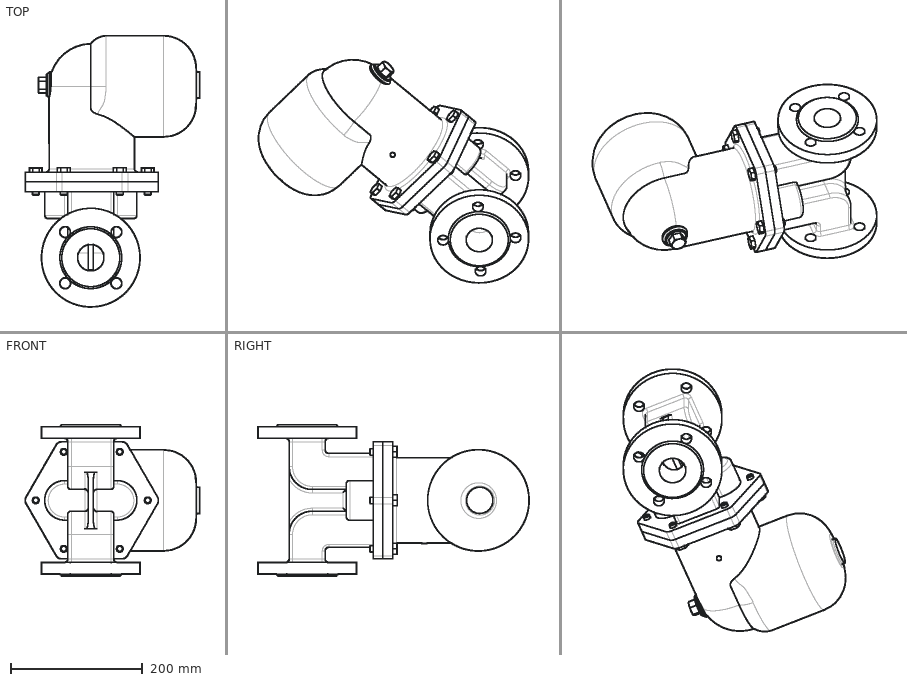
import cadquery as cq
import math


edge_radius = 5.0
pick_margin = 1.0

face_to_face = 230.0
pipe_flange_diameter = 150.0
pipe_flange_thickness = 18.0
raised_face_height = 3.0
raised_face_diameter = 88.0
pipe_hole_diameter = 16.0
pipe_hole_circle = 110.0
bore_radius = 20.0

pipe_flange_outer = face_to_face / 2 - raised_face_height
pipe_flange_inner = pipe_flange_outer - pipe_flange_thickness

leg_width = 70.0
leg_depth = 55.0
leg_inner_z = 16.5
bend_radius = 35.0
leg_half_depth = leg_depth / 2
leg_outer_z = leg_inner_z + leg_depth
leg_center_z = leg_inner_z + leg_half_depth
bend_center_y = bend_radius - leg_half_depth
bend_center_z = leg_inner_z + bend_radius
bend_mid_offset = bend_radius * math.cos(math.pi / 4)
bend_mid_y = bend_center_y - bend_mid_offset
bend_mid_z = bend_center_z - bend_mid_offset

joint_y = 115.0
plate_thickness = 15.0
plate_across_flats = 178.0
plate_corner_radius = 10.0
cover_x = 1.5
body_plate_y = joint_y - plate_thickness
cover_plate_y = joint_y + plate_thickness

rib_thickness = 8.0
rib_half_height = 43.0
boss_length = 140.0
boss_height = 60.0
boss_face_y = 59.3

bolt_diameter = 10.0
bolt_circle_radius = 85.0
bolt_count = 6
bolt_head_flats = 17.0
bolt_head_height = 6.4
bolt_projection = 5.0
bolt_chamfer = 1.0

barrel_radius = 65.0
chamber_y = 260.0
chamber_radius = 154.18 / 2
chamber_end_x = 160.2
chamber_knuckle_radius = 50.0
shoulder_radius = 32.0
shoulder_crest_radius = chamber_radius + 0.1
shoulder_runout_radius = 74.3
shoulder_end_angle = math.radians(34)
shoulder_steps = 5
shoulder_margin = 2.0

pad_y = 262.0
pad_radius = 20.0
left_pad_x = -65.6
left_pad_chamfer = 3.0
right_pad_height = 5.44
right_pad_fillet = 2.0
plug_collar_diameter = 2 * (pad_radius - left_pad_chamfer)
plug_collar_height = 2.2
plug_collar_chamfer = 1.5
plug_head_flats = 21.0
plug_head_chamfer_angle = math.radians(30)
plug_end_x = -79.7

stud_y = 178.0
stud_diameter = 7.5
stud_height = 1.0


def along_y(y, x=0.0):
    """Workplane whose normal is +Y and whose local axes are X and -Z."""
    return cq.Workplane("XZ", origin=(x, y, 0)).transformed(rotate=(180, 0, 0))


def hexagon_diameter(across_flats):
    return across_flats / math.cos(math.pi / 6)


def bolt_places():
    angles = [2 * math.pi * i / bolt_count for i in range(bolt_count)]
    return [(bolt_circle_radius * math.cos(a), bolt_circle_radius * math.sin(a)) for a in angles]


def joint_plate(y):
    """Hexagonal plate from y to y + thickness, with its bolt holes."""
    return (
        along_y(y, cover_x)
        .polygon(6, hexagon_diameter(plate_across_flats))
        .extrude(plate_thickness)
        .edges("|Y")
        .fillet(plate_corner_radius)
        .cut(along_y(y, cover_x).pushPoints(bolt_places()).circle(bolt_diameter / 2).extrude(plate_thickness))
    )


def pipe_flange():
    hole_offset = pipe_hole_circle / 2 * math.cos(math.pi / 4)
    holes = [(x, y) for x in (-hole_offset, hole_offset) for y in (-hole_offset, hole_offset)]
    disc = (
        cq.Workplane("XY", origin=(0, 0, pipe_flange_inner))
        .circle(pipe_flange_diameter / 2)
        .extrude(pipe_flange_thickness)
        .cut(
            cq.Workplane("XY", origin=(0, 0, pipe_flange_inner))
            .pushPoints(holes)
            .circle(pipe_hole_diameter / 2)
            .extrude(pipe_flange_thickness)
        )
    )
    raised_face = (
        cq.Workplane("XY", origin=(0, 0, pipe_flange_outer))
        .circle(raised_face_diameter / 2 + raised_face_height)
        .extrude(raised_face_height, taper=45)
    )
    return disc.union(raised_face)


def elbow():
    """Upper elbow; both ends run on into the flange and the plate so their rounded rims are buried."""
    overlap = 2 * edge_radius
    end_y = body_plate_y + overlap
    end_z = pipe_flange_inner + overlap
    profile = (
        cq.Workplane("YZ", origin=(-leg_width / 2, 0, 0))
        .moveTo(end_y, leg_inner_z)
        .lineTo(bend_center_y, leg_inner_z)
        .threePointArc((bend_mid_y, bend_mid_z), (-leg_half_depth, bend_center_z))
        .lineTo(-leg_half_depth, end_z)
        .lineTo(leg_half_depth, end_z)
        .lineTo(leg_half_depth, leg_outer_z + edge_radius)
        .radiusArc((leg_half_depth + edge_radius, leg_outer_z), -edge_radius)
        .lineTo(end_y, leg_outer_z)
        .close()
    )
    return profile.extrude(leg_width).faces("|X").edges().fillet(edge_radius)


def oval_boss():
    return (
        along_y(boss_face_y)
        .slot2D(boss_length, boss_height)
        .extrude(body_plate_y - boss_face_y)
        .faces("<Y")
        .edges()
        .fillet(edge_radius)
    )


def rib_plate(thickness):
    """Plain rib from the front of the elbows to the oval boss."""
    length = boss_face_y + leg_half_depth
    return (
        cq.Workplane("XY", origin=(0, -leg_half_depth, 0))
        .box(thickness, length, 2 * rib_half_height, centered=(True, False, True))
    )


def elbow_gap(start_x, depth):
    """Space enclosed by the two elbows and the oval boss, open at -Y, from start_x to start_x + depth."""
    margin = 4 * edge_radius
    outer_y = -leg_half_depth - margin
    outer_z = bend_center_z + margin
    return (
        cq.Workplane("YZ", origin=(start_x, 0, 0))
        .moveTo(outer_y, outer_z)
        .lineTo(-leg_half_depth, outer_z)
        .lineTo(-leg_half_depth, bend_center_z)
        .threePointArc((bend_mid_y, bend_mid_z), (bend_center_y, leg_inner_z))
        .lineTo(boss_face_y, leg_inner_z)
        .lineTo(boss_face_y, -leg_inner_z)
        .lineTo(bend_center_y, -leg_inner_z)
        .threePointArc((bend_mid_y, -bend_mid_z), (-leg_half_depth, -bend_center_z))
        .lineTo(-leg_half_depth, -outer_z)
        .lineTo(outer_y, -outer_z)
        .close()
        .extrude(depth)
    )


def rib_with_fillets():
    """Rib that fills the gap between the elbows, flaring with a fillet into elbows and boss."""
    half_width = rib_thickness / 2 + edge_radius
    pocket = elbow_gap(rib_thickness / 2, leg_width / 2).faces("<X").edges().fillet(edge_radius)
    return (
        rib_plate(2 * half_width)
        .intersect(elbow_gap(-half_width, 2 * half_width))
        .cut(pocket)
        .cut(pocket.mirror("YZ"))
    )


def bore():
    """Upper flow passage: down from the flange face, round the bend and along the leg to the joint."""
    down = (
        cq.Workplane("XY", origin=(0, 0, bend_center_z))
        .circle(bore_radius)
        .extrude(face_to_face / 2 - bend_center_z)
    )
    along = (
        along_y(bend_center_y)
        .center(0, -leg_center_z)
        .circle(bore_radius)
        .extrude(joint_y - bend_center_y)
    )
    half_chord = math.sqrt(bore_radius**2 - bend_center_y**2)
    bend = (
        cq.Workplane("XY", origin=(0, 0, bend_center_z))
        .moveTo(-half_chord, bend_center_y)
        .threePointArc((0, -bore_radius), (half_chord, bend_center_y))
        .close()
        .revolve(90, (0, bend_center_y, 0), (1, bend_center_y, 0))
    )
    return down.union(along).union(bend)


def both_ends(shape):
    return shape.union(shape.mirror("XY"))


def pipe_branch():
    """Pipe flange and elbow, with a fillet where the leg meets the flange."""
    root = cq.selectors.BoxSelector(
        (-leg_width / 2 - pick_margin, -leg_half_depth - pick_margin, pipe_flange_inner - pick_margin),
        (leg_width / 2 + pick_margin, leg_half_depth + pick_margin, pipe_flange_inner + pick_margin),
        boundingbox=True,
    )
    return pipe_flange().union(elbow()).edges(root).fillet(edge_radius)


def make_body():
    shell = both_ends(pipe_branch())
    shell = shell.union(joint_plate(body_plate_y)).union(oval_boss()).union(rib_with_fillets())
    return shell.cut(bore()).cut(bore().mirror("XY")).union(rib_plate(rib_thickness))


def barrel():
    """Round barrel with a hemispherical end, turned about its own axis."""
    dome_reach = barrel_radius * math.cos(math.pi / 4)
    return (
        cq.Workplane("XY", origin=(cover_x, 0, 0))
        .moveTo(0, cover_plate_y)
        .lineTo(barrel_radius, cover_plate_y)
        .lineTo(barrel_radius, chamber_y)
        .threePointArc((dome_reach, chamber_y + dome_reach), (0, chamber_y + barrel_radius))
        .close()
        .revolve(360, (0, 0, 0), (0, 1, 0))
    )


def shoulder_section(angle):
    """Profile of the stock removed at the chamber's open end, turned down from +Z towards -Y by angle.

    The rounding starts at the barrel and runs out almost tangent to the chamber wall.
    """
    start = min(barrel_radius / math.cos(angle), shoulder_runout_radius)
    rise = shoulder_crest_radius - start
    length = math.sqrt(shoulder_radius**2 - (shoulder_radius - rise) ** 2)
    half_sweep = math.atan2(length, shoulder_radius - rise) / 2
    arc_mid = (
        length - shoulder_radius * math.sin(half_sweep),
        shoulder_crest_radius - shoulder_radius * (1 - math.cos(half_sweep)),
    )
    plane = cq.Plane(
        origin=(0, chamber_y, 0), xDir=(1, 0, 0), normal=(0, -math.cos(angle), -math.sin(angle))
    )
    return (
        cq.Workplane(plane)
        .moveTo(0, start)
        .threePointArc(arc_mid, (length, shoulder_crest_radius))
        .lineTo(length, chamber_radius + shoulder_margin)
        .lineTo(-shoulder_margin, chamber_radius + shoulder_margin)
        .lineTo(-shoulder_margin, start)
        .close()
    )


def shoulder_cutters():
    """Stock removed round the dome (half a turn) and, fading out, along both barrel sides."""
    dome_part = shoulder_section(0).revolve(180, (0, 0, 0), (-1, 0, 0))
    angles = [shoulder_end_angle * i / shoulder_steps for i in range(shoulder_steps + 1)]
    side_part = cq.Workplane(cq.Solid.makeLoft([shoulder_section(a).val() for a in angles]))
    return [dome_part, side_part, side_part.mirror("XY")]


def chamber():
    """Drum with a rounded far end that carries a round pad with a filleted root."""
    drum = (
        cq.Workplane("YZ", origin=(0, chamber_y, 0))
        .circle(chamber_radius)
        .extrude(chamber_end_x)
        .faces(">X")
        .edges()
        .fillet(chamber_knuckle_radius)
    )
    pad = (
        cq.Workplane("YZ", origin=(chamber_end_x, pad_y, 0))
        .circle(pad_radius)
        .extrude(right_pad_height)
    )
    reach = pad_radius + pick_margin
    pad_root = cq.selectors.BoxSelector(
        (chamber_end_x - pick_margin, pad_y - reach, -reach),
        (chamber_end_x + pick_margin, pad_y + reach, reach),
        boundingbox=True,
    )
    drum = drum.union(pad).edges(pad_root).fillet(right_pad_fillet)
    for cutter in shoulder_cutters():
        drum = drum.cut(cutter)
    return drum


def left_pad():
    return (
        cq.Workplane("YZ", origin=(left_pad_x, pad_y, 0))
        .circle(pad_radius)
        .extrude(cover_x - left_pad_x)
        .faces("<X")
        .edges()
        .chamfer(left_pad_chamfer)
    )


def stud():
    return (
        cq.Workplane("XY", origin=(cover_x, stud_y, 0))
        .circle(stud_diameter / 2)
        .extrude(-barrel_radius - stud_height)
    )


def make_cover():
    reach = barrel_radius + pick_margin
    barrel_root = cq.selectors.BoxSelector(
        (cover_x - reach, cover_plate_y - pick_margin, -reach),
        (cover_x + reach, cover_plate_y + pick_margin, reach),
        boundingbox=True,
    )
    cover = joint_plate(joint_y).union(barrel()).edges(barrel_root).fillet(edge_radius)
    for feature in (chamber(), left_pad(), stud()):
        cover = cover.union(feature)
    return cover


def make_bolt(x, z):
    """Hexagon bolt put in from the cover side, its chamfered tip standing out of the body plate."""
    tip_y = body_plate_y - bolt_projection
    shank = (
        along_y(tip_y)
        .circle(bolt_diameter / 2)
        .extrude(cover_plate_y - tip_y)
        .faces("<Y")
        .chamfer(bolt_chamfer)
    )
    head = along_y(cover_plate_y).polygon(6, hexagon_diameter(bolt_head_flats)).extrude(bolt_head_height)
    return shank.union(head).translate((cover_x + x, 0, z))


def make_plug():
    """Hexagon plug with a round collar that seats on the left pad."""
    collar = (
        cq.Workplane("YZ", origin=(left_pad_x, pad_y, 0))
        .circle(plug_collar_diameter / 2)
        .extrude(-plug_collar_height)
        .faces("<X")
        .chamfer(plug_collar_chamfer)
    )
    head = (
        cq.Workplane("YZ", origin=(left_pad_x, pad_y, 0))
        .polygon(6, hexagon_diameter(plug_head_flats))
        .extrude(plug_end_x - left_pad_x)
    )
    corner_radius = hexagon_diameter(plug_head_flats) / 2
    corner_cut = corner_radius - plug_head_flats / 2
    corner_turning = (
        cq.Workplane("YZ", origin=(left_pad_x, pad_y, 0))
        .circle(corner_radius)
        .extrude(plug_end_x - left_pad_x)
        .faces("<X")
        .chamfer(corner_cut * math.tan(plug_head_chamfer_angle), corner_cut)
    )
    return collar.union(head.intersect(corner_turning))


body = make_body()
cover = make_cover()
bolts = [make_bolt(x, z) for x, z in bolt_places()]
plug = make_plug()

result = cq.Compound.makeCompound([body.val(), cover.val(), *[bolt.val() for bolt in bolts], plug.val()])